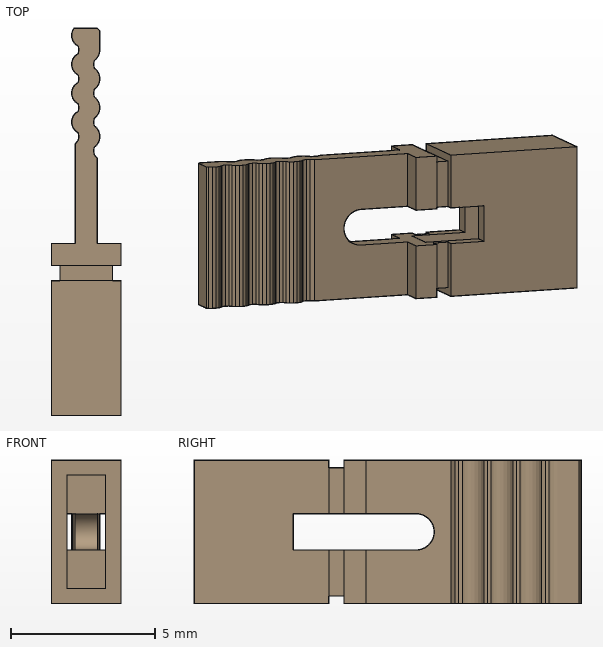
import cadquery as cq
import math

width = 2.42
length = 13.41
height = 4.97

body_length = 4.67
pocket_width = 1.33
pocket_height = 3.93
pocket_depth = 5.4

neck_length = 0.52
neck_side_inset = 0.30
neck_top_inset = 0.26
flange_length = 0.77
flange_start = body_length + neck_length
flange_end = flange_start + flange_length

slot_height = 1.25
slot_start = 3.44
slot_end = 8.31

tab_half_width = 0.385
tip_chamfer = 0.09
rib_pitch = 1.0
rib_count = 4
rib_facets = 7
rib_base = 0.75
valley_half_width = 0.26
valley_rise = 0.02
run_out = 0.26
left_crest_half_width = 0.51
left_first_crest = length - 0.25
right_crest_half_width = 0.475
right_first_crest = length - 0.75


def block(x_size, y_start, y_end, z_size):
    """Box centred on X and Z, spanning y_start to y_end."""
    return cq.Workplane("XY").box(x_size, y_end - y_start, z_size).translate((0, (y_start + y_end) / 2, 0))


def ribbed_side(crest_half_width, first_crest):
    """Ribbed side as (half width, Y) points, from the first rib down to the plain tab side."""
    foot_half_width = valley_half_width + valley_rise
    rise = crest_half_width - foot_half_width
    half_base = rib_base / 2
    radius = (half_base ** 2 + rise ** 2) / (2 * rise)
    half_angle = math.asin(half_base / radius)
    arc_centre = crest_half_width - radius

    points = []
    for i in range(rib_count):
        crest_y = first_crest - i * rib_pitch
        for j in range(rib_facets + 1):
            angle = half_angle * (1 - 2 * j / rib_facets)
            points.append((arc_centre + radius * math.cos(angle), crest_y + radius * math.sin(angle)))
        valley_y = crest_y - rib_pitch / 2
        points.append((valley_half_width, valley_y))

    last_slope_end = valley_y - (rib_pitch - rib_base) / 2
    points.append((foot_half_width, last_slope_end))
    points.append((tab_half_width, valley_y - run_out))
    return points


def make_tab():
    left = ribbed_side(left_crest_half_width, left_first_crest)
    right = ribbed_side(right_crest_half_width, right_first_crest)

    while left[1][1] > length:
        left.pop(0)
    (outer_x, outer_y), (inner_x, inner_y) = left[1], left[0]
    left[0] = (outer_x + (inner_x - outer_x) * (length - outer_y) / (inner_y - outer_y), length)
    right = right[(rib_facets + 1) // 2:]
    right_flat = right[0][0]

    outline = [(-x, y) for x, y in left]
    outline += [(-tab_half_width, flange_start), (tab_half_width, flange_start)]
    outline += right[::-1]
    outline += [(right_flat, length - tip_chamfer), (right_flat - tip_chamfer, length)]
    return cq.Workplane("XY").polyline(outline).close().extrude(height / 2, both=True)


def make_slot():
    radius = slot_height / 2
    straight_end = slot_end - radius
    profile = (
        cq.Workplane("YZ")
        .moveTo(slot_start, -radius)
        .lineTo(straight_end, -radius)
        .threePointArc((slot_end, 0), (straight_end, radius))
        .lineTo(slot_start, radius)
        .close()
    )
    return profile.extrude(width, both=True)


body = block(width, 0, body_length, height)
neck = block(width - 2 * neck_side_inset, body_length, flange_start, height - 2 * neck_top_inset)
flange = block(width, flange_start, flange_end, height)
pocket = block(pocket_width, 0, pocket_depth, pocket_height)

result = body.union(neck).union(flange).union(make_tab()).cut(pocket).cut(make_slot())